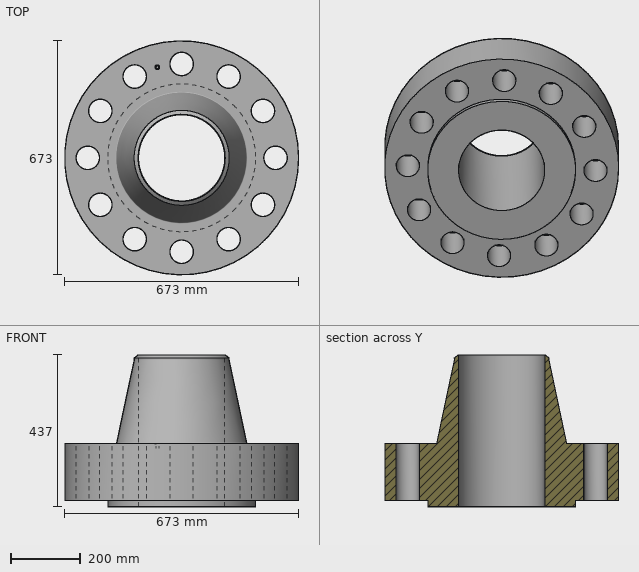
import cadquery as cq
import math

total_height = 437.0
raised_face_height = 17.5
flange_thickness = 165.0
flange_top = raised_face_height + flange_thickness

flange_diameter = 673.0
raised_face_diameter = 425.0
hub_base_diameter = 375.0
neck_diameter = 273.0
bore_diameter = 247.5

weld_land = 1.6
bevel_angle = 37.5
straight_neck_length = 6.0
hub_fillet_radius = 3.0

bolt_count = 12
bolt_circle_diameter = 540.0
bolt_hole_diameter = 66.5
small_counterbore_diameter = 13.5
small_counterbore_depth = 2.0
small_hole_diameter = 8.0
small_hole_depth = 13.5
bolt_pitch_angle = 360 / bolt_count
small_hole_angle = 90 + bolt_pitch_angle / 2


def turned_body():
    """Raised face, flange, tapered hub and beveled neck, with the bore through them."""
    bore_radius = bore_diameter / 2
    neck_radius = neck_diameter / 2
    land_radius = bore_radius + weld_land
    bevel_height = (neck_radius - land_radius) * math.tan(math.radians(bevel_angle))
    bevel_bottom = total_height - bevel_height
    profile = (
        cq.Workplane("XZ")
        .moveTo(bore_radius, 0)
        .lineTo(raised_face_diameter / 2, 0)
        .lineTo(raised_face_diameter / 2, raised_face_height)
        .lineTo(flange_diameter / 2, raised_face_height)
        .lineTo(flange_diameter / 2, flange_top)
        .lineTo(hub_base_diameter / 2, flange_top)
        .lineTo(neck_radius, bevel_bottom - straight_neck_length)
        .lineTo(neck_radius, bevel_bottom)
        .lineTo(land_radius, total_height)
        .lineTo(bore_radius, total_height)
        .close()
    )
    return profile.revolve(360, (0, 0, 0), (0, 1, 0))


def round_hub_base(body):
    """Fillet the corner where the hub meets the top of the flange."""
    hub_radius = hub_base_diameter / 2
    reach = hub_radius + hub_fillet_radius
    corner = cq.selectors.BoxSelector(
        (-reach, -reach, flange_top - hub_fillet_radius),
        (reach, reach, flange_top + hub_fillet_radius),
        boundingbox=True,
    )
    return body.edges(corner).fillet(hub_fillet_radius)


def bolt_holes():
    """Through-hole cutters spaced evenly on the bolt circle."""
    return (
        cq.Workplane("XY")
        .polarArray(bolt_circle_diameter / 2, 0, 360, bolt_count)
        .circle(bolt_hole_diameter / 2)
        .extrude(flange_top)
    )


def small_hole_step(diameter, depth):
    """Flat-bottomed round cutter between two bolt holes, sunk from the flange top."""
    return (
        cq.Workplane("XY", origin=(0, 0, flange_top))
        .polarArray(bolt_circle_diameter / 2, small_hole_angle, 360, 1)
        .circle(diameter / 2)
        .extrude(-depth)
    )


result = (
    round_hub_base(turned_body())
    .cut(bolt_holes())
    .cut(small_hole_step(small_counterbore_diameter, small_counterbore_depth))
    .cut(small_hole_step(small_hole_diameter, small_hole_depth))
)